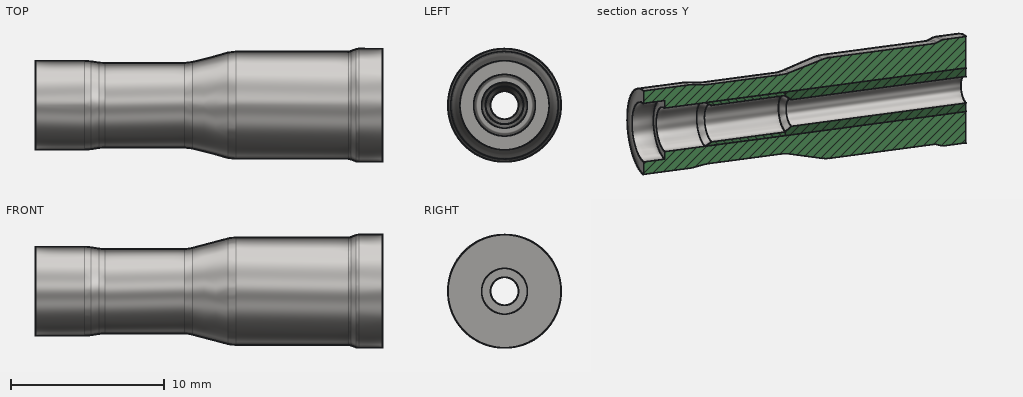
import cadquery as cq

length = 22.6

collar_radius = 5.8 / 2
neck_radius = 2.75
barrel_radius = 3.5
flange_radius = 7.4 / 2
collar_end = 3.4
neck_start = 4.32
neck_end = 9.95
barrel_start = 12.77
barrel_end = 20.45
flange_start = 20.95
collar_blend = 2.5
shoulder_blend = 2.01
flange_blend = 0.5

entry_radius = 2.01
entry_depth = 1.5
seat_radius = 1.5

sleeve_bore_radius = 1.25
sleeve_mouth_depth = 0.45

funnel_radius = 1.22
funnel_depth = 0.4
hole_radius = 0.9


def turned(profile_points):
    """Revolve a closed (x, radius) outline about the X axis."""
    outline = cq.Workplane("XZ").polyline(profile_points).close()
    return outline.revolve(360, (0, 0, 0), (1, 0, 0))


def rings_between(body, x_from, x_to):
    """Select the circular edges of a turned body that lie between two X positions."""
    margin = 0.02
    span = 2 * flange_radius
    return body.edges(
        cq.selectors.BoxSelector((x_from - margin, -span, -span), (x_to + margin, span, span))
    )


def make_housing():
    body = turned(
        [
            (0, 0),
            (0, collar_radius),
            (collar_end, collar_radius),
            (neck_start, neck_radius),
            (neck_end, neck_radius),
            (barrel_start, barrel_radius),
            (barrel_end, barrel_radius),
            (flange_start, flange_radius),
            (length, flange_radius),
            (length, 0),
        ]
    )
    for x_from, x_to, blend in (
        (collar_end, neck_start, collar_blend),
        (neck_end, barrel_start, shoulder_blend),
        (barrel_end, flange_start, flange_blend),
    ):
        body = rings_between(body, x_from, x_to).fillet(blend)

    bore = turned(
        [
            (0, 0),
            (0, entry_radius),
            (entry_depth, entry_radius),
            (entry_depth, seat_radius),
            (length, seat_radius),
            (length, 0),
        ]
    )
    return body.cut(bore)


def make_sleeve():
    return turned(
        [
            (neck_start, seat_radius),
            (neck_start + sleeve_mouth_depth, sleeve_bore_radius),
            (neck_end, sleeve_bore_radius),
            (neck_end, seat_radius),
        ]
    )


def make_socket():
    return turned(
        [
            (neck_end, seat_radius),
            (neck_end, funnel_radius),
            (neck_end + funnel_depth, hole_radius),
            (length, hole_radius),
            (length, seat_radius),
        ]
    )


housing = make_housing()
sleeve = make_sleeve()
socket = make_socket()

result = cq.Compound.makeCompound([housing.val(), sleeve.val(), socket.val()])